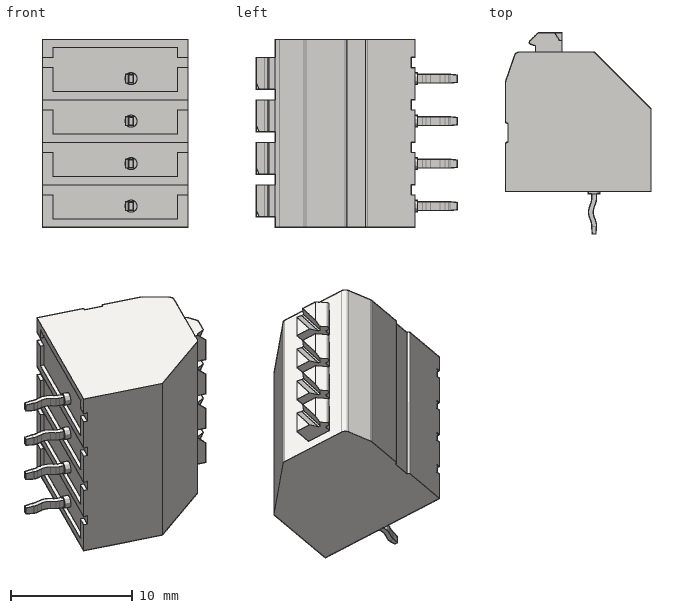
import cadquery as cq

pole_count = 4
pitch = 3.5
end_plate = 1.5
pole_tops = [pitch * (pole + 1) for pole in range(pole_count)]

width = 12.0
depth = 11.54
height = pole_count * pitch + end_plate
side_height = 6.85
bevel = depth - side_height
shoulder_y = 9.1
shoulder_inset = 0.85
shoulder_radius = 0.5
bevel_radius = 0.3

groove_bottom = 4.1
groove_top = 5.63
groove_depth = 0.2
groove_lip_radius = 0.17

recess_depth = 0.32
recess_margin = 0.86
rail_thickness = 0.7
notch_height = 0.83
end_rail = 0.68

pin_x = 7.3
collar_diameter = 1.0
collar_length = 0.18
pin_length = 3.49
pin_thickness = 0.42
pin_width = 0.75
wave_offset = 0.33
bend_start = 0.75
wave_y = 1.68
bend_end = 2.6
bend_radius = 0.83
wave_radius = 1.16
tip_length = 0.63
tip_taper_x = 0.05
tip_taper_z = 0.07

lever_length = 1.58
lever_height = 2.64
lever_left = 2.45
lever_right = 4.66
lever_top_left = 2.7
hook_x = 1.81
hook_y = 0.7
hook_root_y = 0.5
hook_radius = 0.17

channel_depth = 0.65
channel_mouth = 0.61
channel_floor = 0.2
channel_shift = 1.76


def make_housing():
    outline = [
        (0, 0),
        (width, 0),
        (width, side_height),
        (width - bevel, depth),
        (shoulder_inset, depth),
        (0, shoulder_y),
        (0, groove_top),
        (groove_depth, groove_top),
        (groove_depth, groove_bottom),
        (0, groove_bottom),
    ]
    housing = cq.Workplane("XY").polyline(outline).close().extrude(height)
    for x, y, radius in [
        (width - bevel, depth, bevel_radius),
        (shoulder_inset, depth, shoulder_radius),
        (0, shoulder_y, shoulder_radius),
        (0, groove_top, groove_lip_radius),
        (0, groove_bottom, groove_lip_radius),
    ]:
        corner = cq.selectors.NearestToPointSelector((x, y, height / 2))
        housing = housing.edges("|Z").edges(corner).fillet(radius)
    return housing


def cut_recess(housing, pole_top, roof):
    """Pocket above a pole's lower rail, with a notch through both sides."""
    floor = pole_top - pitch + rail_thickness
    pocket = cq.Workplane("XY", origin=(recess_margin, 0, floor)).box(
        width - 2 * recess_margin, recess_depth, roof - floor, centered=False
    )
    notch = cq.Workplane("XY", origin=(0, 0, pole_top - notch_height)).box(
        width, recess_depth, notch_height, centered=False
    )
    return housing.cut(pocket).cut(notch)


def make_pin(pole_top):
    """Wavy pin of constant thickness with a tapered tip and a round collar."""
    pin_z = pole_top - pitch / 2
    left = pin_x - pin_thickness / 2
    tip_start = pin_length - tip_length
    left_side = [
        (left, recess_depth),
        (left, -bend_start),
        (left - wave_offset, -wave_y),
        (left, -bend_end),
        (left, -tip_start),
    ]
    right_side = [(x + pin_thickness, y) for x, y in reversed(left_side)]
    shank = (
        cq.Workplane("XY", origin=(0, 0, pin_z - pin_width / 2))
        .polyline(left_side + right_side)
        .close()
        .extrude(pin_width)
    )
    for bend_x, bend_y in left_side[1:4] + right_side[1:4]:
        radius = wave_radius if bend_y == -wave_y else bend_radius
        bend = cq.selectors.NearestToPointSelector((bend_x, bend_y, pin_z))
        shank = shank.edges("|Z").edges(bend).fillet(radius)

    tip = (
        cq.Workplane("XZ", origin=(pin_x, -tip_start, pin_z))
        .rect(pin_thickness, pin_width)
        .workplane(offset=tip_length)
        .rect(pin_thickness - 2 * tip_taper_x, pin_width - 2 * tip_taper_z)
        .loft(ruled=True)
    )
    collar = (
        cq.Workplane("XZ", origin=(pin_x, recess_depth, pin_z))
        .circle(collar_diameter / 2)
        .extrude(recess_depth + collar_length)
    )
    return shank.union(tip).union(collar)


def make_lever(pole_top):
    """Hooked release lever with a slanted channel across its outer end."""
    bottom = pole_top - lever_height
    end_y = depth + lever_length
    outline = [
        (lever_left, depth),
        (lever_right, depth),
        (lever_right, end_y),
        (lever_top_left, end_y),
        (hook_x, depth + hook_y),
        (lever_left, depth + hook_root_y),
    ]
    lever = cq.Workplane("XY", origin=(0, 0, bottom)).polyline(outline).close().extrude(lever_height)
    hook = cq.selectors.NearestToPointSelector((hook_x, depth + hook_y, bottom + lever_height / 2))
    lever = lever.edges("|Z").edges(hook).fillet(hook_radius)

    floor_y = end_y - channel_depth
    flank_run = channel_mouth - channel_floor
    section = [
        (lever_right + flank_run, end_y),
        (lever_right, floor_y),
        (lever_right - channel_floor, floor_y),
        (lever_right - channel_mouth, end_y),
    ]
    lower_section = [(x - channel_shift, y) for x, y in section]
    channel = (
        cq.Workplane("XY", origin=(0, 0, bottom))
        .polyline(lower_section)
        .close()
        .workplane(offset=lever_height)
        .polyline(section)
        .close()
        .loft(ruled=True)
    )
    return lever.cut(channel)


result = make_housing()
for pole_top in pole_tops:
    roof = height - end_rail if pole_top == pole_tops[-1] else pole_top
    result = cut_recess(result, pole_top, roof)
    result = result.union(make_pin(pole_top)).union(make_lever(pole_top))